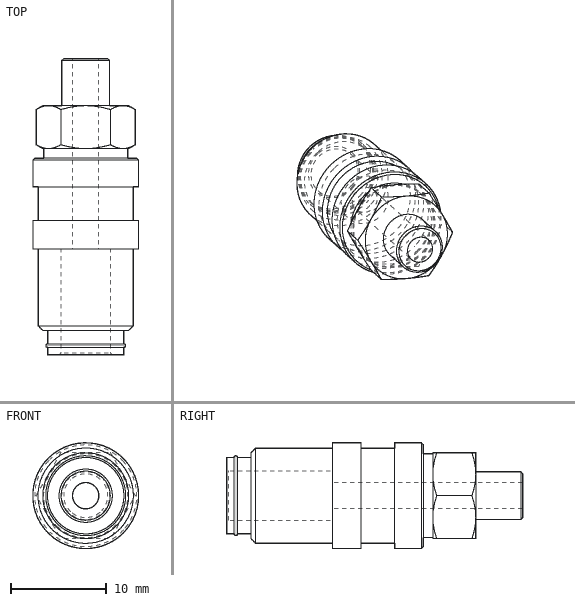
import cadquery as cq
import math

length = 31.0
nose_length = 2.55
front_body_length = 8.52
collar_length = 3.0
collar_gap = 3.5
neck_length = 1.0
nut_length = 4.5

nose_radius = 4.0
body_radius = 5.0
collar_radius = 5.55
neck_radius = 4.4
stem_radius = 2.5
nut_across_flats = 9.0

body_chamfer = 0.5
edge_chamfer = 0.22
nut_chamfer_angle = math.radians(30)

ring_from_tip = 0.95
ring_section_radius = 0.2
ring_centre_radius = nose_radius

socket_radius = 2.57
socket_depth = nose_length + front_body_length
through_radius = 1.35

tip_y = -length / 2
body_y = tip_y + nose_length
front_collar_y = body_y + front_body_length
waist_y = front_collar_y + collar_length
rear_collar_y = waist_y + collar_gap
neck_y = rear_collar_y + collar_length
nut_y = neck_y + neck_length
stem_y = nut_y + nut_length
end_y = length / 2


def cylinder(radius, start_y, stop_y):
    """Solid cylinder about the Y axis."""
    return cq.Workplane("XZ", origin=(0, start_y, 0)).circle(radius).extrude(start_y - stop_y)


def revolve_about_y(profile):
    return profile.revolve(360, (0, 0, 0), (0, 1, 0))


def make_nut():
    """Hexagon with two flats facing +Z and -Z, its corners turned off at both ends."""
    flat_radius = nut_across_flats / 2
    corner_radius = flat_radius / math.cos(math.pi / 6)
    bevel_length = (corner_radius - flat_radius) * math.tan(nut_chamfer_angle)
    hexagon = (
        cq.Workplane("XZ", origin=(0, nut_y, 0))
        .polygon(6, 2 * corner_radius)
        .extrude(-nut_length)
    )
    turned_envelope = revolve_about_y(
        cq.Workplane("XY")
        .moveTo(0, nut_y)
        .lineTo(flat_radius, nut_y)
        .lineTo(corner_radius, nut_y + bevel_length)
        .lineTo(corner_radius, stem_y - bevel_length)
        .lineTo(flat_radius, stem_y)
        .lineTo(0, stem_y)
        .close()
    )
    return hexagon.intersect(turned_envelope)


def make_snap_ring():
    return revolve_about_y(
        cq.Workplane("XY")
        .moveTo(ring_centre_radius, tip_y + ring_from_tip)
        .circle(ring_section_radius)
    )


def make_bore():
    """Socket with a chamfered mouth, followed by a narrower through hole."""
    return revolve_about_y(
        cq.Workplane("XY")
        .moveTo(0, tip_y)
        .lineTo(socket_radius + edge_chamfer, tip_y)
        .lineTo(socket_radius, tip_y + edge_chamfer)
        .lineTo(socket_radius, tip_y + socket_depth)
        .lineTo(through_radius, tip_y + socket_depth)
        .lineTo(through_radius, end_y)
        .lineTo(0, end_y)
        .close()
    )


nose = cylinder(nose_radius, tip_y, body_y)
body = cylinder(body_radius, body_y, neck_y).faces("<Y").chamfer(body_chamfer)
front_collar = cylinder(collar_radius, front_collar_y, waist_y)
rear_collar = cylinder(collar_radius, rear_collar_y, neck_y).faces(">Y").chamfer(edge_chamfer)
neck = cylinder(neck_radius, neck_y, nut_y)
stem = cylinder(stem_radius, stem_y, end_y).faces(">Y").chamfer(edge_chamfer)

result = nose
for section in (body, front_collar, rear_collar, neck, make_nut(), stem, make_snap_ring()):
    result = result.union(section)
result = result.cut(make_bore())